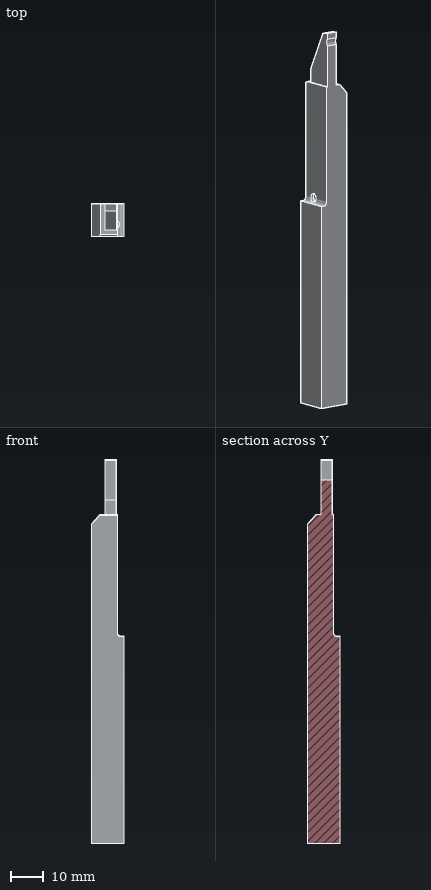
import math

import cadquery as cq

shank_side = 10.0
shank_height = 100.0
half_side = shank_side / 2

neck_width = 8.0
neck_right = neck_width - half_side
step_height = 63.0
step_fillet = 1.0

side_bevel_width = 2.75
side_bevel_drop = 3.0
front_bevel_depth = 0.6
front_bevel_drop = 0.42

recess_y = -1.25
recess_radius = 1.25
recess_depth = 1.0
recess_floor_gap = 0.08
recess_centre_height = step_height + recess_floor_gap + recess_radius

blade_left = -0.85
blade_width = 3.5
blade_depth = 8.0
blade_height = 16.6
blade_tip_depth = 2.2
blade_tip_slope = math.radians(8)
blade_shoulder_height = 4.3

groove_bottom_below_tip = 3.9
groove_top_below_tip = 1.8
groove_depth = 0.3


def make_recess():
    return (
        cq.Workplane("YZ", origin=(neck_right - recess_depth, 0, 0))
        .center(recess_y, recess_centre_height)
        .circle(recess_radius)
        .extrude(recess_depth + step_fillet)
    )


def make_shank():
    shank = (
        cq.Workplane("XZ", origin=(0, half_side, 0))
        .moveTo(-half_side, 0)
        .lineTo(half_side, 0)
        .lineTo(half_side, step_height)
        .lineTo(neck_right + step_fillet, step_height)
        .radiusArc((neck_right, step_height + step_fillet), step_fillet)
        .lineTo(neck_right, shank_height)
        .lineTo(side_bevel_width - half_side, shank_height)
        .lineTo(-half_side, shank_height - side_bevel_drop)
        .close()
        .extrude(shank_side)
    )
    front_bevel = (
        cq.Workplane("YZ", origin=(-half_side, 0, 0))
        .moveTo(-half_side, shank_height)
        .lineTo(-half_side, shank_height - front_bevel_drop)
        .lineTo(front_bevel_depth - half_side, shank_height)
        .close()
        .extrude(shank_side)
    )
    return shank.cut(front_bevel).cut(make_recess())


def make_blade():
    tip_height = shank_height + blade_height
    tip_front_height = tip_height - blade_tip_depth * math.tan(blade_tip_slope)
    groove_bottom = tip_height - groove_bottom_below_tip
    groove_top = tip_height - groove_top_below_tip
    groove_middle = (groove_bottom + groove_top) / 2
    return (
        cq.Workplane("YZ", origin=(blade_left, 0, 0))
        .moveTo(half_side, shank_height)
        .lineTo(half_side, groove_bottom)
        .threePointArc((half_side - groove_depth, groove_middle), (half_side, groove_top))
        .lineTo(half_side, tip_height)
        .lineTo(half_side - blade_tip_depth, tip_front_height)
        .lineTo(half_side - blade_depth, shank_height + blade_shoulder_height)
        .lineTo(half_side - blade_depth, shank_height)
        .close()
        .extrude(blade_width)
    )


result = make_shank().union(make_blade())